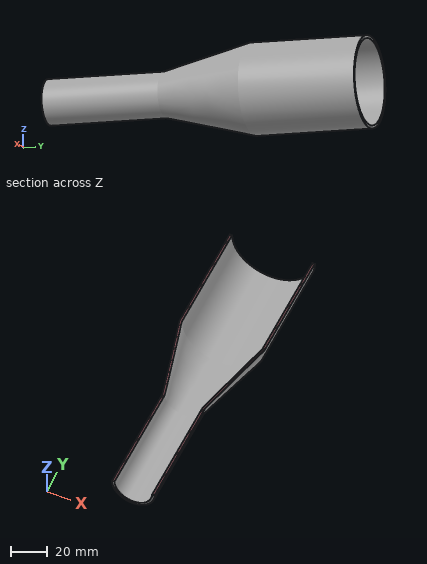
import cadquery as cq

INCH = 25.4
large_diameter = 2.0 * INCH
small_diameter = 1.0 * INCH
wall = 0.065 * INCH
straight_length = 2.625 * INCH
cone_length = 2.0 * INCH
total_length = 2 * straight_length + cone_length


def stepped_cone(large_radius, small_radius):
    """Solid of revolution about Y: small cylinder, cone, large cylinder."""
    cone_start = straight_length
    cone_end = straight_length + cone_length
    half_profile = [
        (0, 0),
        (0, small_radius),
        (cone_start, small_radius),
        (cone_end, large_radius),
        (total_length, large_radius),
        (total_length, 0),
    ]
    return cq.Workplane("YZ").polyline(half_profile).close().revolve(360, (0, 0), (1, 0))


outer_body = stepped_cone(large_diameter / 2, small_diameter / 2)
bore = stepped_cone(large_diameter / 2 - wall, small_diameter / 2 - wall)

result = outer_body.cut(bore)